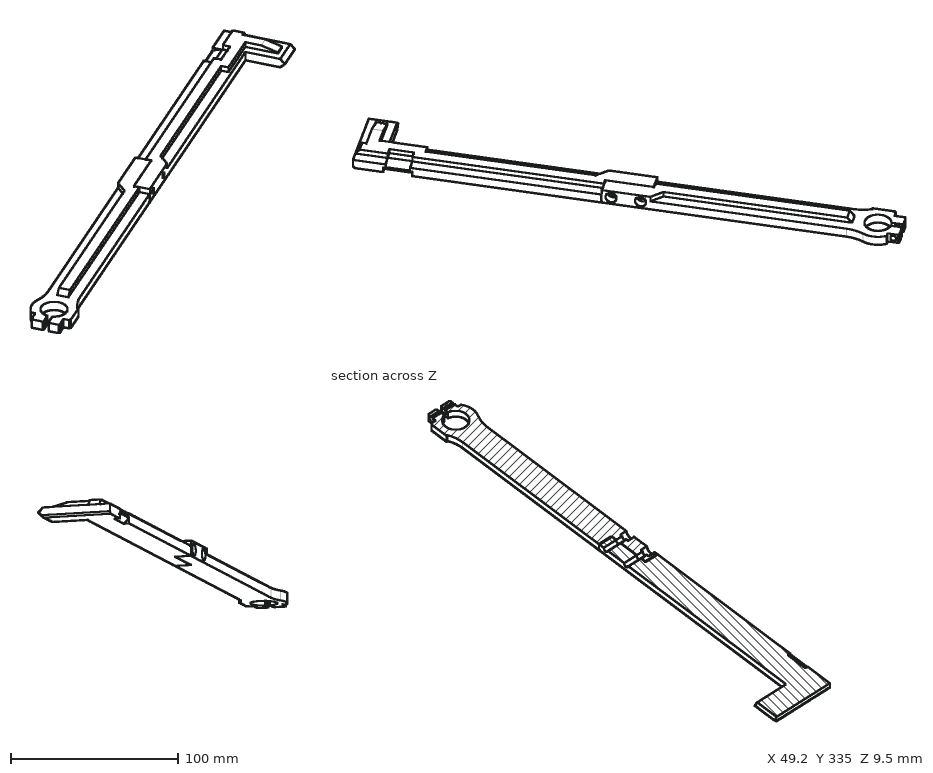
import cadquery as cq
import math


length = 335.0
bar_width = 20.0
base_height = 6.0
total_height = 9.5
rib_width = 7.0
rib_height = total_height - base_height

ring_radius = 14.0
bore_radius = 8.0
neck_radius = 23.5
ring_flat_x = 13.5
lug_end_y = -15.0
lug_width = 18.0
shoulder_y = -8.0
slot_width = 3.0
slot_x = 0.5
lug_chamfer = 0.7
flat_chamfer = 1.0
clamp_hole_diameter = 3.7
clamp_hole_y = (shoulder_y + lug_end_y) / 2
clamp_rib_end_y = 15.0
clamp_rib_slope = 3.0

joint_y = 152.5
lap_length = 29.5
lap_gap = 0.5
ramp_offset = 0.5
screw_pitch = 18.0
screw_hole_diameter = 3.5
screw_head_diameter = 6.7
screw_head_depth = 5.0

hook_end_y = length + lug_end_y
hook_end_x = 35.2
hook_width = 17.5
hook_rib_end_x = 28.8
hook_rib_slope_start_x = 18.0
hook_rib_tip_height = 0.7
hook_rib_rear_slope = 2.7
rear_chamfer = 1.5
wide_rib_x = 8.0
wide_rib_end_y = 278.5

lip_y = 292.5
pocket_length = 15.0
pocket_floor_x = -3.7
pocket_floor_z = 6.5
pocket_end_x = 1.0
notch_length = 17.8
lip_top_z = 4.0
lip_bottom_z = 3.5

half_bar = bar_width / 2
half_rib = rib_width / 2
half_lap = lap_length / 2
hook_rib_y = hook_end_y - hook_width / 2


def plate(points, bottom, height):
    """Extrude a closed XY outline upward from the given level."""
    return cq.Workplane("XY").workplane(offset=bottom).polyline(points).close().extrude(height)


def box(x_range, y_range, z_range):
    """Make a box from its limits along each axis."""
    (x0, x1), (y0, y1), (z0, z1) = x_range, y_range, z_range
    return cq.Workplane("XY").box(x1 - x0, y1 - y0, z1 - z0, centered=False).translate((x0, y0, z0))


def x_hole(diameter, y, z, start, depth):
    """Make a cylinder along +X, for drilling across the bar."""
    return cq.Workplane("YZ", origin=(start, 0, 0)).center(y, z).circle(diameter / 2).extrude(depth)


def lapped_bar(base_length, rib_length):
    """Make a bar that runs toward -Y from a half-width tongue centred on Y = 0.

    A half-width notch, longer than the tongue by the lap gap, takes the other bar's tongue.
    The rib widens through a 45 degree ramp to fill the full width of the lap.
    """
    notch_y = -half_lap - lap_gap
    base = plate(
        [
            (-half_bar, -base_length),
            (half_bar, -base_length),
            (half_bar, notch_y),
            (0, notch_y),
            (0, half_lap),
            (-half_bar, half_lap),
        ],
        0,
        base_height,
    )
    ramp_y = -half_lap - ramp_offset
    rib = plate(
        [
            (-half_rib, -rib_length),
            (half_rib, -rib_length),
            (half_rib, notch_y),
            (0, notch_y),
            (0, half_lap),
            (-half_bar, half_lap),
            (-half_bar, ramp_y),
            (-half_rib, ramp_y - (half_bar - half_rib)),
        ],
        base_height,
        rib_height,
    )
    return base.union(rib)


def drill_joint(bar, diameter, depth):
    """Drill the two joint screw positions into the bar from the -X side."""
    for y in (joint_y - screw_pitch / 2, joint_y + screw_pitch / 2):
        bar = bar.cut(x_hole(diameter, y, total_height / 2, -half_bar, depth))
    return bar


def make_clamp_head():
    """Make the split ring with its neck fillets and two screw lugs."""
    neck_x = half_bar + neck_radius
    neck_y = math.sqrt((ring_radius + neck_radius) ** 2 - neck_x**2)
    tangent_scale = ring_radius / (ring_radius + neck_radius)
    tangent = (neck_x * tangent_scale, neck_y * tangent_scale)
    mid_angle = math.pi + math.atan2(neck_y, neck_x) / 2
    middle = (neck_x + neck_radius * math.cos(mid_angle), neck_y + neck_radius * math.sin(mid_angle))

    neck = (
        cq.Workplane("XY")
        .moveTo(-half_bar, neck_y)
        .threePointArc((-middle[0], middle[1]), (-tangent[0], tangent[1]))
        .lineTo(tangent[0], tangent[1])
        .threePointArc(middle, (half_bar, neck_y))
        .close()
        .extrude(base_height)
    )
    disc = cq.Workplane("XY").circle(ring_radius).extrude(base_height)
    heights = (0, base_height)
    flat_side = box((0, ring_flat_x), (shoulder_y, tangent[1]), heights).edges("|Z and >X and <Y")
    flat_side = flat_side.chamfer(flat_chamfer)
    lower_cut = box((-ring_radius, ring_radius), (-ring_radius, shoulder_y), heights)
    side_cut = box((ring_flat_x, ring_radius), (-ring_radius, ring_radius), heights)
    lugs = box((-lug_width / 2, lug_width / 2), (lug_end_y, 0), heights)
    slot = box((slot_x - slot_width / 2, slot_x + slot_width / 2), (lug_end_y, 0), heights)
    bore = cq.Workplane("XY").circle(bore_radius).extrude(base_height)

    lugs = lugs.cut(slot).edges("|Z and <Y").chamfer(lug_chamfer)
    ring = disc.union(neck).cut(lower_cut).cut(side_cut).union(flat_side)
    ring = ring.cut(slot).union(lugs).cut(bore)
    hole = x_hole(clamp_hole_diameter, clamp_hole_y, base_height / 2, -lug_width / 2, lug_width)
    return ring.cut(hole), neck_y


def make_clamp_bar():
    """Make the bar that carries the clamp, up to the -X half of the lap."""
    head, neck_y = make_clamp_head()
    bar = lapped_bar(joint_y - neck_y, joint_y - clamp_rib_end_y).translate((0, joint_y, 0)).union(head)
    slope = (
        cq.Workplane("YZ", origin=(-half_rib, 0, 0))
        .moveTo(clamp_rib_end_y, base_height)
        .lineTo(clamp_rib_end_y + clamp_rib_slope, total_height)
        .lineTo(clamp_rib_end_y, total_height)
        .close()
        .extrude(rib_width)
    )
    bar = drill_joint(bar.cut(slope), screw_hole_diameter, bar_width)
    return drill_joint(bar, screw_head_diameter, screw_head_depth)


def make_hook_base():
    """Make the hook's flat arm, bevelled above and below to a sharp tip at its +X end."""
    half_height = base_height / 2
    return (
        cq.Workplane("XZ", origin=(0, hook_end_y, 0))
        .moveTo(0, 0)
        .lineTo(hook_end_x - half_height, 0)
        .lineTo(hook_end_x, half_height)
        .lineTo(hook_end_x - half_height, base_height)
        .lineTo(0, base_height)
        .close()
        .extrude(hook_width)
    )


def make_hook_rib():
    """Make the rib along the hook, which slopes down to a low step near the tip."""
    return (
        cq.Workplane("XZ", origin=(0, hook_rib_y + half_rib, 0))
        .moveTo(0, base_height)
        .lineTo(hook_rib_end_x, base_height)
        .lineTo(hook_rib_end_x, base_height + hook_rib_tip_height)
        .lineTo(hook_rib_slope_start_x, total_height)
        .lineTo(0, total_height)
        .close()
        .extrude(rib_width)
    )


def cut_lip(bar):
    """Cut the pocket and notch that leave a thin lip on the -X side."""
    y_range = (lip_y - pocket_length / 2, lip_y + pocket_length / 2)
    pocket = box((-half_bar, pocket_end_x), y_range, (lip_top_z, total_height))
    lip_top = (
        cq.Workplane("XZ", origin=(0, lip_y + pocket_length / 2, 0))
        .moveTo(-half_bar, lip_top_z)
        .lineTo(pocket_floor_x, pocket_floor_z)
        .lineTo(pocket_end_x, pocket_floor_z)
        .lineTo(pocket_end_x, lip_top_z)
        .close()
        .extrude(pocket_length)
    )
    notch = (
        cq.Workplane("XZ", origin=(0, lip_y + notch_length / 2, 0))
        .moveTo(-half_bar, 0)
        .lineTo(-half_bar + lip_bottom_z, 0)
        .lineTo(-half_bar, lip_bottom_z)
        .close()
        .extrude(notch_length)
    )
    return bar.cut(pocket).union(lip_top).cut(notch)


def make_hook_bar():
    """Make the bar that carries the hook, up to the +X half of the lap."""
    reach = hook_end_y - joint_y
    bar = lapped_bar(reach, reach).rotate((0, 0, 0), (0, 0, 1), 180).translate((0, joint_y, 0))
    wide_rib = box(
        (0, wide_rib_x),
        (wide_rib_end_y, hook_rib_y + half_rib),
        (base_height, total_height),
    )
    bar = bar.union(make_hook_base()).union(make_hook_rib()).union(wide_rib)
    rear_slope = (
        cq.Workplane("YZ", origin=(-half_rib, 0, 0))
        .moveTo(hook_end_y, base_height)
        .lineTo(hook_end_y, total_height)
        .lineTo(hook_end_y - hook_rib_rear_slope, total_height)
        .close()
        .extrude(rib_width)
    )
    bar = bar.cut(rear_slope).faces(">Y").edges("<Z").chamfer(rear_chamfer)
    return cut_lip(drill_joint(bar, screw_hole_diameter, bar_width))


clamp_bar = make_clamp_bar()
hook_bar = make_hook_bar()

result = cq.Compound.makeCompound([clamp_bar.val(), hook_bar.val()])